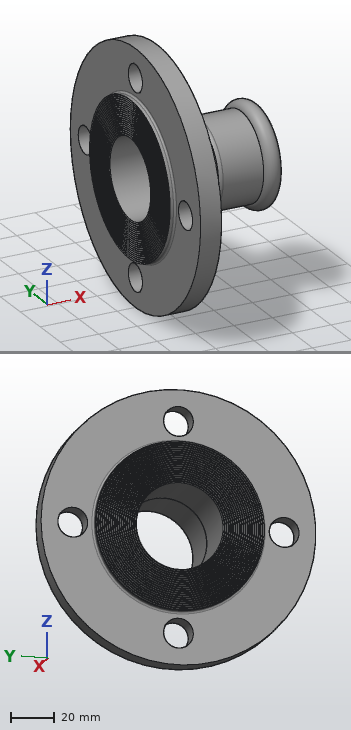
import cadquery as cq
import math


FLANGE_RADIUS = 130 / 2
FLANGE_THICKNESS = 11
BOLT_HOLE_DIAMETER = 14
BOLT_CIRCLE_RADIUS = 50
BOLT_HOLE_COUNT = 4

FACE_RADIUS = 80 / 2
FACE_HEIGHT = 3
FACE_FILLET = 1
GROOVE_PITCH = 1.0
GROOVE_DEPTH = 0.5

HUB_LENGTH = 4.8
HUB_END_RADIUS = 24.2
HUB_TAPER = math.radians(10)
HUB_FILLET = 3.0

WALL = 1.5
TUBE_RADIUS = 44 / 2
SOCKET_RADIUS = 45.4 / 2
FLARE_START = 34.8
FLARE_LENGTH = 2.0

TOTAL_LENGTH = 67
BEAD_ROUND = 4.6
BEAD_CENTER_RADIUS = 21.75
BEAD_MOUTH_RADIUS = 42.7 / 2

BORE_RADIUS = TUBE_RADIUS - WALL
SOCKET_BORE_RADIUS = SOCKET_RADIUS - WALL
FLANGE_BACK = FACE_HEIGHT + FLANGE_THICKNESS
HUB_END = FLANGE_BACK + HUB_LENGTH
FLARE_END = FLARE_START + FLARE_LENGTH
BEAD_CENTER = TOTAL_LENGTH - BEAD_ROUND
MOUTH_X = BEAD_CENTER + math.sqrt(BEAD_ROUND**2 - (BEAD_CENTER_RADIUS - BEAD_MOUTH_RADIUS) ** 2)


def add_rim_fillet(profile):
    """Concave quarter round from the flange front up to the raised face's rim."""
    fillet_start = FACE_HEIGHT - FACE_FILLET
    center_radius = FACE_RADIUS + FACE_FILLET
    diagonal = FACE_FILLET * math.sqrt(0.5)
    return (
        profile.lineTo(fillet_start, FACE_RADIUS)
        .threePointArc(
            (fillet_start + diagonal, center_radius - diagonal),
            (FACE_HEIGHT, center_radius),
        )
    )


def add_hub(profile):
    """Concave round off the flange back, tangent to the hub's slightly tapered side."""
    center_x = FLANGE_BACK + HUB_FILLET
    tangent_x = center_x - HUB_FILLET * math.sin(HUB_TAPER)
    tangent_radius = HUB_END_RADIUS + (HUB_END - tangent_x) * math.tan(HUB_TAPER)
    center_radius = tangent_radius + HUB_FILLET * math.cos(HUB_TAPER)
    middle = (math.pi / 2 - HUB_TAPER) / 2
    return (
        profile.lineTo(FLANGE_BACK, center_radius)
        .threePointArc(
            (
                center_x - HUB_FILLET * math.cos(middle),
                center_radius - HUB_FILLET * math.sin(middle),
            ),
            (tangent_x, tangent_radius),
        )
        .lineTo(HUB_END, HUB_END_RADIUS)
    )


def add_flare(profile):
    """Convex arc from the tube up to the socket, tangent to the socket's side."""
    rise = SOCKET_RADIUS - TUBE_RADIUS
    arc_radius = (FLARE_LENGTH**2 + rise**2) / (2 * rise)
    half_sweep = math.asin(FLARE_LENGTH / arc_radius) / 2
    middle = (
        FLARE_END - arc_radius * math.sin(half_sweep),
        SOCKET_RADIUS - arc_radius * (1 - math.cos(half_sweep)),
    )
    return profile.lineTo(FLARE_START, TUBE_RADIUS).threePointArc(middle, (FLARE_END, SOCKET_RADIUS))


def add_bead(profile):
    """Round bead standing out of the socket, rolling over to a narrow flat land at the mouth."""
    sink = SOCKET_RADIUS - BEAD_CENTER_RADIUS
    bead_start = BEAD_CENTER - math.sqrt(BEAD_ROUND**2 - sink**2)
    return (
        profile.lineTo(bead_start, SOCKET_RADIUS)
        .threePointArc(
            (BEAD_CENTER, BEAD_CENTER_RADIUS + BEAD_ROUND),
            (MOUTH_X, BEAD_MOUTH_RADIUS),
        )
    )


def add_face_grooves(profile):
    """Zigzag from the bore to the rim; groove bottoms and crests alternate, ending on a crest."""
    half_pitch = GROOVE_PITCH / 2
    flank_count = round((FACE_RADIUS - BORE_RADIUS) / half_pitch)
    for flank in range(flank_count - 1, -1, -1):
        depth = GROOVE_DEPTH * (flank % 2)
        profile = profile.lineTo(depth, FACE_RADIUS - flank * half_pitch)
    return profile


def make_body():
    """Revolve the half profile: grooved face, flange, hub, tube, socket and bead."""
    profile = cq.Workplane("XY").moveTo(GROOVE_DEPTH, BORE_RADIUS)
    profile = add_face_grooves(profile)
    profile = add_rim_fillet(profile)
    profile = profile.lineTo(FACE_HEIGHT, FLANGE_RADIUS).lineTo(FLANGE_BACK, FLANGE_RADIUS)
    profile = add_hub(profile)
    profile = profile.lineTo(HUB_END, TUBE_RADIUS)
    profile = add_flare(profile)
    profile = add_bead(profile)
    profile = (
        profile.lineTo(MOUTH_X, SOCKET_BORE_RADIUS)
        .lineTo(FLARE_END, SOCKET_BORE_RADIUS)
        .lineTo(FLARE_START, BORE_RADIUS)
        .close()
    )
    return profile.revolve(360, (0, 0, 0), (1, 0, 0))


def make_bolt_holes():
    """Cylinders to cut through the flange, evenly spaced on the bolt circle."""
    return (
        cq.Workplane("YZ", origin=(FACE_HEIGHT, 0, 0))
        .polarArray(BOLT_CIRCLE_RADIUS, 0, 360, BOLT_HOLE_COUNT)
        .circle(BOLT_HOLE_DIAMETER / 2)
        .extrude(FLANGE_THICKNESS)
    )


result = make_body().cut(make_bolt_holes())